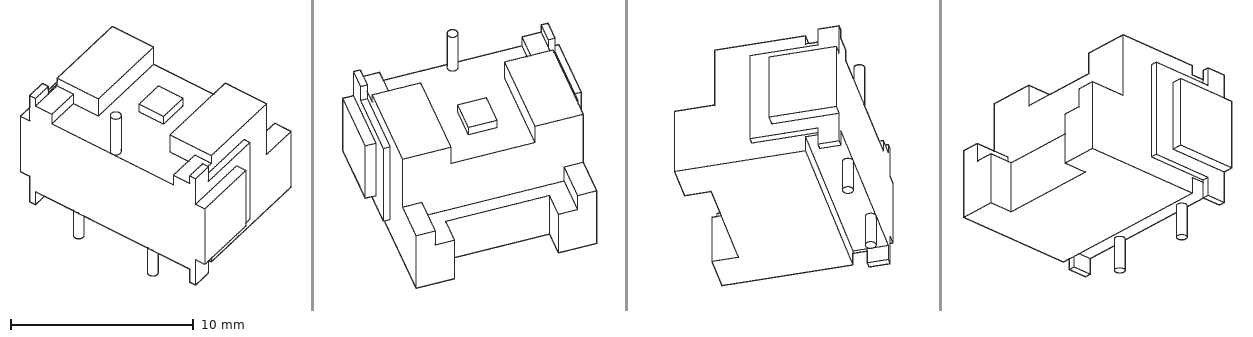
import cadquery as cq

BODY_HALF_WIDTH = 5.22
BODY_HEIGHT = 8.0
BODY_BACK = 7.12
FRONT_BEAM_DEPTH = 2.0
BEAM_BOTTOM = 0.98
FLOOR_HEIGHT = 6.71

BLOCK_INNER_X = 2.42
LEDGE_INNER_X = 4.11
LEDGE_HEIGHT = 7.42
PAD_WIDTH = 1.66
PAD_FRONT = 3.59
PAD_BACK = 5.39
PAD_TOP = 7.29

REAR_BACK = 9.4
REAR_HEIGHT = 4.19
REAR_FLOOR_HEIGHT = 3.08
NOTCH_HALF_WIDTH = 3.0
NOTCH_FRONT = 7.9

PLATE_HALF_WIDTH = 5.62
PLATE_BACK = 5.04
PLATE_BOTTOM = 1.12
PLATE_TOP = 6.9
EAR_BACK = 1.2
END_HALF_WIDTH = 6.25
END_BACK = 3.8
END_BOTTOM = 1.91
END_TOP = 6.09

PIN_DIAMETER = 0.6
PIN_OFFSET = 2.51
PIN_TOP = 9.4
PIN_BOTTOM = -1.0


def box(x_range, y_range, z_range):
    """Box spanning the given (low, high) ranges."""
    size = [high - low for low, high in (x_range, y_range, z_range)]
    corner = (x_range[0], y_range[0], z_range[0])
    return cq.Workplane("XY").box(*size, centered=False).translate(corner)


def centered_box(half_width, y_range, z_range):
    """Box symmetric about the X = 0 plane."""
    return box((-half_width, half_width), y_range, z_range)


def mirrored_pair(inner_x, outer_x, y_range, z_range):
    """Two equal boxes on opposite sides of the X = 0 plane."""
    one_side = box((inner_x, outer_x), y_range, z_range)
    return one_side.union(one_side.mirror("YZ"))


def pin(x, z_low, z_high):
    """Vertical round pin tangent to the front face."""
    radius = PIN_DIAMETER / 2
    base = cq.Workplane("XY", origin=(x, radius, z_low))
    return base.circle(radius).extrude(z_high - z_low)


def make_body():
    main_depth = (FRONT_BEAM_DEPTH, BODY_BACK)
    beam_depth = (0, FRONT_BEAM_DEPTH)
    body = centered_box(BODY_HALF_WIDTH, main_depth, (0, FLOOR_HEIGHT))
    body = body.union(centered_box(BODY_HALF_WIDTH, beam_depth, (BEAM_BOTTOM, FLOOR_HEIGHT)))
    raised_blocks = mirrored_pair(BLOCK_INNER_X, BODY_HALF_WIDTH, main_depth, (FLOOR_HEIGHT, BODY_HEIGHT))
    ledges = mirrored_pair(LEDGE_INNER_X, BODY_HALF_WIDTH, beam_depth, (FLOOR_HEIGHT, LEDGE_HEIGHT))
    pad = centered_box(PAD_WIDTH / 2, (PAD_FRONT, PAD_BACK), (FLOOR_HEIGHT, PAD_TOP))
    return body.union(raised_blocks).union(ledges).union(pad)


def make_rear_step():
    depth = (BODY_BACK, REAR_BACK)
    step = centered_box(LEDGE_INNER_X, depth, (0, REAR_FLOOR_HEIGHT))
    rails = mirrored_pair(LEDGE_INNER_X, BODY_HALF_WIDTH, depth, (0, REAR_HEIGHT))
    notch = centered_box(NOTCH_HALF_WIDTH, (NOTCH_FRONT, REAR_BACK), (0, REAR_FLOOR_HEIGHT))
    return step.union(rails).cut(notch)


def make_side_plates():
    plates = mirrored_pair(BODY_HALF_WIDTH, PLATE_HALF_WIDTH, (0, PLATE_BACK), (PLATE_BOTTOM, PLATE_TOP))
    ears = mirrored_pair(BODY_HALF_WIDTH, PLATE_HALF_WIDTH, (0, EAR_BACK), (0, BODY_HEIGHT))
    ends = mirrored_pair(PLATE_HALF_WIDTH, END_HALF_WIDTH, (0, END_BACK), (END_BOTTOM, END_TOP))
    return plates.union(ears).union(ends)


result = make_body().union(make_rear_step()).union(make_side_plates())
result = result.union(pin(0, FLOOR_HEIGHT, PIN_TOP))
for pin_x in (-PIN_OFFSET, PIN_OFFSET):
    result = result.union(pin(pin_x, PIN_BOTTOM, BEAM_BOTTOM))